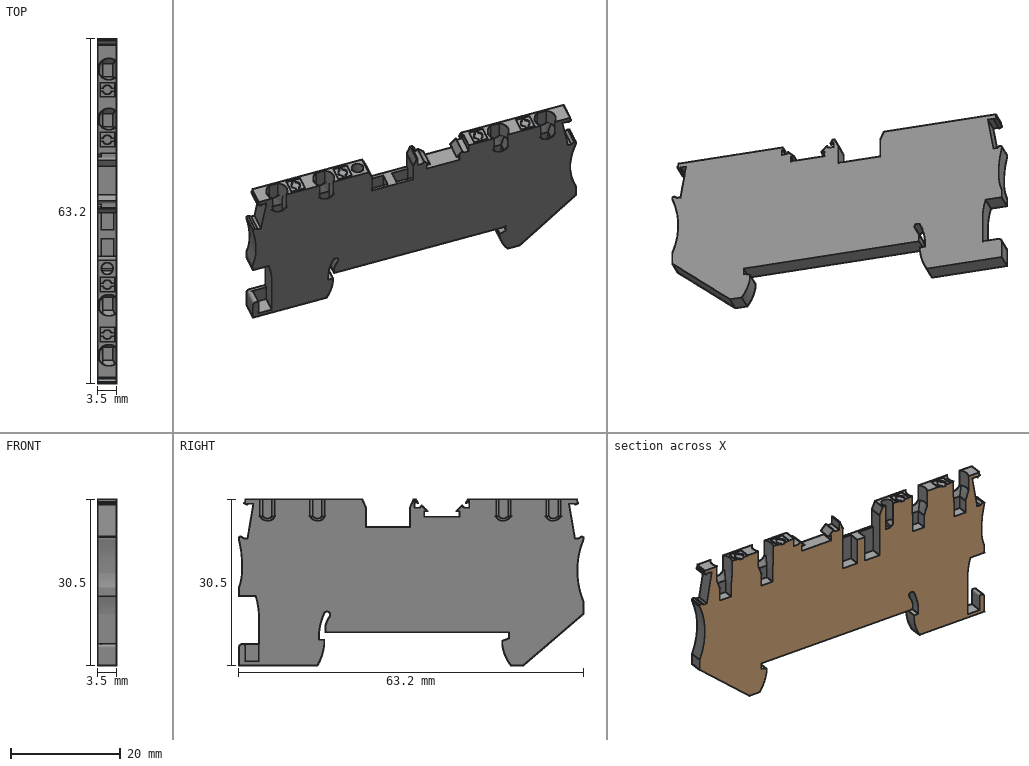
import cadquery as cq

LENGTH = 63.2
HEIGHT = 30.5
THICKNESS = 3.5
END = LENGTH / 2
SIDE = THICKNESS / 2

RAIL_Z = 6.05
HOOK_TIP_Z = 4.75
MARKER_FLOOR_Z = 27.3
LEDGE_Z = 28.95
WINDOW_Z = 25.4
WINDOW_SHOULDER_Z = 28.95
LIP_Z = 29.65
STEP_Z = 23.3
GRIP_TOP_Z = 23.1
FOOT_Z = 4.0

RECESS_MID = 5.6
RECESS_HALF = 3.2
LEDGE_HALF = 5.0
LEDGE_END = (4.3, LEDGE_Z)
LEDGE_CURVE = (4.05, 29.0)
CREST = (3.7, 29.4)
WINDOW_NEAR = -0.25
WINDOW_FAR = -8.3
WINDOW_FLARE = 0.7

COVER = 0.65

TAB_REACH = 0.65
TAB_TOP = 0.2
TAB_TIP_Z = 29.75
TAB_ROOT_Z = 29.95

NOTCH_Y = -27.95
FOOT_ROUND = 0.7
FOOT_LIP = 1.15
FOOT_LIP_ROUND = 0.4
FOOT_POCKET_DEPTH = 3.15

BLOCK_CENTRES = (21.5, -21.8)
FUNNEL_PITCH = 9.15
FUNNEL_X = 0.3
FUNNEL_RADIUS = 1.95
FUNNEL_FLAT_X = -1.45
FUNNEL_DEPTH = 3.15
TAPER_DEPTH = 5.05
THROAT_DEPTH = 7.6
THROAT_X = 0.1
THROAT_WIDTH = 1.85
THROAT_LENGTH = 2.4
THROAT_SHIFT = 0.25
BUTTON_SHIFT = 3.8
BUTTON_X = 0.05
BUTTON_SIZE = 2.65
BUTTON_RECESS = 0.05
SLOT_DEPTH = 0.3
DIMPLE_RADIUS = 0.8
SLOT_WIDTH = 0.6

POCKET_X = 0.05
POCKET_WIDTH = 2.35
POCKET_DEPTH = 5.05
POCKET_SPANS = ((-3.35, WINDOW_NEAR), (WINDOW_FAR, -5.05))

PROBE_Y = -10.5
PROBE_RADIUS = 1.1
PROBE_DEPTH = 5.05
PROBE_BEND = 0.4
PROBE_BEND_RISE = 0.2
PROBE_RISE = 0.95


def end_lip_points(side):
    """Top lip, slanted face and step of one end, from the top edge downward."""
    outline = [
        (30.45, HEIGHT),
        (30.45, 30.0),
        (30.65, 29.75),
        (30.1, 29.45),
        (29.95, LIP_Z),
        (28.95, LIP_Z),
        (30.0, STEP_Z),
        (30.65, STEP_Z),
        (31.2, 23.7),
        (END, 23.5),
    ]
    return [(side * y, z) for y, z in outline]


def recess_point(side, distance, z):
    return RECESS_MID + side * distance, z


def recess_points(side):
    """One flank of the marker recess, from the crest inward to the floor."""
    outline = [
        CREST,
        (2.6, 28.25),
        (RECESS_HALF, 28.25),
        (RECESS_HALF, MARKER_FLOOR_Z),
    ]
    return [recess_point(side, y, z) for y, z in outline]


def body():
    profile = (
        cq.Workplane("YZ")
        .workplane(offset=-SIDE)
        .moveTo(RECESS_MID + LEDGE_HALF, HEIGHT)
        .polyline(end_lip_points(1), includeCurrent=True)
        .lineTo(END, GRIP_TOP_Z)
        .threePointArc((30.45, 17.25), (END, 11.7))
        .lineTo(END, 9.5)
        .lineTo(20.55, 0)
        .lineTo(18.25, 0)
        .threePointArc((17.25, 1.7), (16.7, 3.65))
        .lineTo(16.7, 4.55)
        .lineTo(17.9, 5.0)
        .lineTo(17.9, RAIL_Z)
        .lineTo(-15.75, RAIL_Z)
        .lineTo(-15.75, 7.25)
        .threePointArc((-15.5, 8.1), (-15.0, 9.0))
        .threePointArc((-15.3, 9.85), (-15.9, 9.6))
        .threePointArc((-16.55, 7.85), (-16.9, 6.0))
        .lineTo(-16.9, HOOK_TIP_Z)
        .lineTo(-15.9, HOOK_TIP_Z)
        .lineTo(-15.9, 3.8)
        .threePointArc((-16.4, 1.8), (-17.2, 0))
        .lineTo(-END, 0)
        .lineTo(-END, FOOT_Z - FOOT_ROUND)
        .radiusArc((FOOT_ROUND - END, FOOT_Z), FOOT_ROUND)
        .lineTo(NOTCH_Y, FOOT_Z)
        .lineTo(NOTCH_Y, 9.4)
        .threePointArc((-28.1, 11.05), (-28.5, 12.7))
        .lineTo(-END, 12.7)
        .lineTo(-END, 14.3)
        .threePointArc((-31.2, 15.6), (-31.0, 16.95))
        .threePointArc((-31.1, 20.1), (-END, GRIP_TOP_Z))
        .polyline(end_lip_points(-1)[::-1], includeCurrent=True)
        .lineTo(WINDOW_FAR - WINDOW_FLARE, HEIGHT)
        .lineTo(WINDOW_FAR, WINDOW_SHOULDER_Z)
        .lineTo(WINDOW_FAR, WINDOW_Z)
        .lineTo(WINDOW_NEAR, WINDOW_Z)
        .lineTo(WINDOW_NEAR, WINDOW_SHOULDER_Z)
        .lineTo(WINDOW_NEAR + WINDOW_FLARE, HEIGHT)
        .lineTo(RECESS_MID - LEDGE_HALF, HEIGHT)
        .lineTo(RECESS_MID - LEDGE_HALF, LEDGE_Z)
        .lineTo(*recess_point(-1, *LEDGE_END))
        .threePointArc(recess_point(-1, *LEDGE_CURVE), recess_point(-1, *CREST))
        .polyline(recess_points(-1)[1:] + recess_points(1)[::-1], includeCurrent=True)
        .threePointArc(recess_point(1, *LEDGE_CURVE), recess_point(1, *LEDGE_END))
        .lineTo(RECESS_MID + LEDGE_HALF, LEDGE_Z)
        .close()
    )
    return profile.extrude(THICKNESS)


def clip_tab(side):
    """Small hooked tab over one ledge, flush with the -X face."""
    wall = RECESS_MID + side * LEDGE_HALF
    tip = wall - side * TAB_REACH
    return (
        cq.Workplane("YZ")
        .workplane(offset=-SIDE)
        .polyline([(wall, HEIGHT), (wall - side * TAB_TOP, HEIGHT), (tip, TAB_TIP_Z), (wall, TAB_ROOT_Z)])
        .close()
        .extrude(COVER)
    )


def top_box(x, y, width, length, depth, top=HEIGHT):
    return cq.Workplane("XY", origin=(x, y, top)).rect(width, length).extrude(-depth)


def funnel(y, inward):
    """Round mouth flattened on the -X side, tapering to a rectangular throat."""
    mouth = cq.Workplane("XY", origin=(FUNNEL_X, y, HEIGHT)).circle(FUNNEL_RADIUS).extrude(-FUNNEL_DEPTH)
    taper = (
        cq.Workplane("XY", origin=(FUNNEL_X, y, HEIGHT - FUNNEL_DEPTH))
        .circle(FUNNEL_RADIUS)
        .workplane(offset=FUNNEL_DEPTH - TAPER_DEPTH)
        .center(THROAT_X - FUNNEL_X, inward * THROAT_SHIFT)
        .rect(THROAT_WIDTH, THROAT_LENGTH)
        .loft(ruled=True)
    )
    flat_side = top_box(
        FUNNEL_FLAT_X + FUNNEL_RADIUS, y, 2 * FUNNEL_RADIUS, 2 * FUNNEL_RADIUS, TAPER_DEPTH
    )
    throat = top_box(THROAT_X, y + inward * THROAT_SHIFT, THROAT_WIDTH, THROAT_LENGTH, THROAT_DEPTH)
    return mouth.union(taper).intersect(flat_side).union(throat)


def button(y):
    """Shallow square recess crossed by a slot, with a round dimple at its centre."""
    recess = top_box(BUTTON_X, y, BUTTON_SIZE, BUTTON_SIZE, BUTTON_RECESS)
    slot = top_box(BUTTON_X, y, BUTTON_SIZE, SLOT_WIDTH, SLOT_DEPTH)
    dimple = cq.Workplane("XY", origin=(0, y, HEIGHT)).circle(DIMPLE_RADIUS).extrude(-SLOT_DEPTH)
    return recess.union(slot).union(dimple)


def probe_hole():
    """Blind round hole whose floor rises on the -Y side."""
    hole = cq.Workplane("XY", origin=(0, PROBE_Y, HEIGHT)).circle(PROBE_RADIUS).extrude(-PROBE_DEPTH)
    floor = HEIGHT - PROBE_DEPTH
    bend = (PROBE_Y - PROBE_BEND, floor + PROBE_BEND_RISE)
    edge = PROBE_Y - PROBE_RADIUS
    ramp = (
        cq.Workplane("YZ")
        .polyline([(PROBE_Y, floor), (edge, floor), (edge, floor + PROBE_RISE), bend])
        .close()
        .extrude(PROBE_RADIUS, both=True)
    )
    return hole.cut(ramp)


def foot_pocket():
    """Pocket in the top of the -Y foot, closed by the thin -X wall and the end lip."""
    start = FOOT_LIP - END
    return top_box(
        COVER / 2, (start + NOTCH_Y) / 2, THICKNESS - COVER, NOTCH_Y - start, FOOT_POCKET_DEPTH, FOOT_Z
    )


result = body()

for side in (-1, 1):
    result = result.union(clip_tab(side))

for block in BLOCK_CENTRES:
    inward = -1 if block > 0 else 1
    for offset in (-FUNNEL_PITCH / 2, FUNNEL_PITCH / 2):
        funnel_y = block + offset
        result = result.cut(funnel(funnel_y, inward))
        result = result.cut(button(funnel_y + inward * BUTTON_SHIFT))

for start, stop in POCKET_SPANS:
    pocket = top_box(POCKET_X, (start + stop) / 2, POCKET_WIDTH, stop - start, POCKET_DEPTH, WINDOW_Z)
    result = result.cut(pocket)

result = result.cut(probe_hole())
result = result.cut(foot_pocket())
lip_edge = cq.selectors.NearestToPointSelector((COVER / 2, FOOT_LIP - END, FOOT_Z))
result = result.edges(lip_edge).fillet(FOOT_LIP_ROUND)